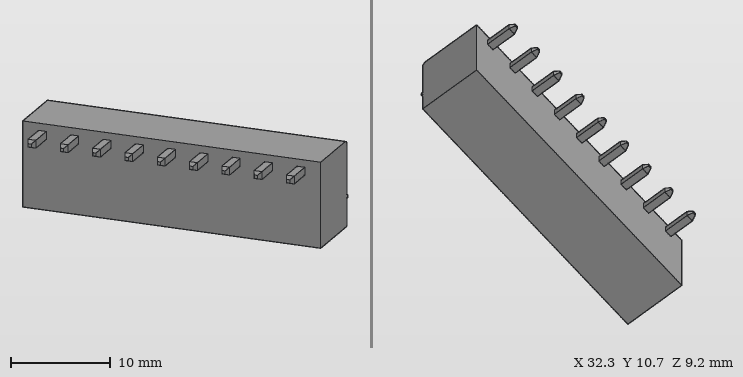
import cadquery as cq

length = 32.3
depth = 7.05
height = 9.2
top_edge_radius = 0.52

pin_count = 9
pin_row_span = 28.0
first_pin_x = (length - pin_row_span) / 2
pin_pitch = pin_row_span / (pin_count - 1)
pin_z = height - 1.2
pin_width = 0.85
pin_length = 3.4
tip_length = 0.58
tip_width = 0.35
shank_length = pin_length - tip_length

rib_depth = 0.2
rib_height = 0.4
rib_bottom = 3.0


def make_housing():
    """Rectangular block with the upper back edge rounded."""
    block = cq.Workplane("XY").box(length, depth, height, centered=False)
    return block.edges(">Y and >Z").fillet(top_edge_radius)


def make_rib():
    """Full-length rib that rises from the back face."""
    straight_top = rib_bottom + rib_height - rib_depth
    rib_back = depth + rib_depth
    return (
        cq.Workplane("YZ")
        .moveTo(depth, rib_bottom)
        .lineTo(rib_back, rib_bottom)
        .lineTo(rib_back, straight_top)
        .radiusArc((depth, rib_bottom + rib_height), -rib_depth)
        .close()
        .extrude(length)
    )


def make_pin(x):
    """Square pin pointing to -Y, with a tip that tapers on all four sides."""
    base = cq.Workplane("XZ", origin=(x, 0, pin_z))
    shank = base.rect(pin_width, pin_width).extrude(shank_length)
    tip = (
        base.workplane(offset=shank_length)
        .rect(pin_width, pin_width)
        .workplane(offset=tip_length)
        .rect(tip_width, tip_width)
        .loft(ruled=True)
    )
    return shank.union(tip)


result = make_housing().union(make_rib())
for index in range(pin_count):
    result = result.union(make_pin(first_pin_x + index * pin_pitch))